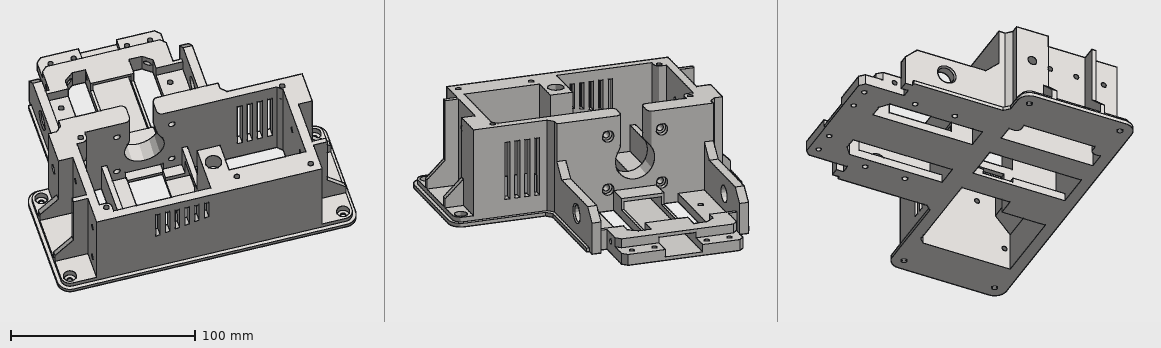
import cadquery as cq


LENGTH_X = 152.0
LENGTH_Y = 168.63
HEIGHT = 55.0

FLANGE_T = 2.2
FLANGE_MARGIN = 2.1
FLANGE_Y_MAX = 103.2
FLANGE_Y_MIN = FLANGE_Y_MAX - LENGTH_Y
FOOT_T = 4.9
FOOT_RADIUS = 5.0
FOOT_X_MIN = 85.2
FOOT_X_MAX = LENGTH_X - FLANGE_MARGIN
FOOT_Y_MIN = FLANGE_Y_MIN + FLANGE_MARGIN
FOOT_Y_MAX = FLANGE_Y_MAX - FLANGE_MARGIN
FOOT_HOLE_D = 3.3
FOOT_HEAD_D = 7.0
FOOT_HEAD_DEPTH = 3.8

FRONT_X = 78.3
NECK_HALF_W = 45.1
NECK_CHAMFER = 3.1
BLOCK_Y_MAX = 90.6
BLOCK_Y_MIN = -52.9
RECESS_X = 104.4
RECESS_Y_MAX = 82.8
RECESS_Y_MIN = -44.7

CORNER_WEB_T = 3.1
MID_WEB_X = 130.6
MID_WEB_T = 2.6
WEB_TOP_Z = 20.3
WEB_TOE_Z = 10.2

CAVITY_X_MIN = 89.9
CAVITY_X_MAX = 145.2
MOTOR_SIDE_Y = 21.2
CAVITY_Y_MIN = -39.9
DIVIDER_T = 3.1
DIVIDER_Y = MOTOR_SIDE_Y + DIVIDER_T
DIVIDER_TOP_Z = 20.2
POST_X = 119.0
POST_Y = 34.2
REAR_Y_MAX = 77.6
REAR_CORNER_CHAMFER = 2.8
LEDGE_X = 136.3
LEDGE_Z = 33.6
LEDGE_DROP = 10.0
BAR_INNER_Y = 10.2
BAR_TOP_Z = 4.9
PASSAGE_X_MIN = 96.0
PASSAGE_X_MAX = 113.9
PASSAGE_Z_MAX = 15.3
BOSS_SIZE = 6.2
BOSS_RADIUS = 3.0

MOTOR_Z = 28.1
MOTOR_BORE_D = 22.5
MOTOR_SLOT_W = 15.2
SLOT_EDGE_RADIUS = 3.0
MOTOR_HOLE_PITCH = 31.0
MOTOR_HOLE_D = 3.7
MOTOR_HEAD_D = 6.5
MOTOR_HEAD_DEPTH = 3.0

PILOT_D = 3.0
PILOT_DEPTH = 10.0
LID_PILOTS = [(90.1, 77.8), (144.8, 77.8), (141.8, 37.0), (92.6, -36.8), (141.8, -36.8)]
POST_HOLE_XY = (128.9, 27.5)
POST_HOLE_D = 4.6
POST_HOLE_DEPTH = 20.0
POST_HEAD_D = 8.8
POST_HEAD_DEPTH = 10.0
END_HOLES = [(109.4, 40.0), (125.2, 40.0), (141.8, 40.0), (141.8, 13.0)]
CABLE_HOLE_XZ = (94.7, 35.0)
CABLE_HOLE_D = 5.2

FRONT_VENT_COUNT = 4
FRONT_VENT_Y = 53.9
FRONT_VENT_PITCH = 5.7
FRONT_VENT_W = 2.8
FRONT_VENT_Z_MIN = 12.0
FRONT_VENT_Z_MAX = 45.2
BACK_VENT_COUNT = 6
BACK_VENT_Y = -10.0
BACK_VENT_PITCH = 5.5
BACK_VENT_W = 2.4
BACK_VENT_Z_MAX = 48.6
BACK_VENT_Z_AXIS = 31.9
BACK_VENT_SLOPE = 0.22

TRAY_X = 26.1
TRAY_HALF_W = 46.8
TRAY_FLOOR_T = 5.0
SIDE_X = 21.9
SIDE_T = 5.2
SIDE_TOP_Z = 25.2
SIDE_NOSE_CHAMFER = 7.0
SIDE_RAMP = 7.8
SIDE_HOLE_XZ = (46.8, 14.5)
SIDE_HOLE_D = 9.6
SIDE_HOLE_CHAMFER = 0.8
FLOOR_HOLE_X = (34.8, 58.8)
FLOOR_HOLE_Y = 30.8

PLATE_X = 10.4
PLATE_X_END = 28.2
PLATE_T = 11.6
PLATE_HALF_W = 35.0
PLATE_CHAMFER = 2.8
LIP_T = 6.4
LIP_HOLE_X = 5.4
LIP_HOLE_Y = (15.05, 28.1)
LIP_HOLE_D = 2.8
CROSS_HOLE_XZ = (20.3, 6.8)
CROSS_HOLE_D = 2.8

OPENING_X = 18.4
OPENING_Y_MIN = 12.3
OPENING_Y_MAX = 24.8
OPENING_CHAMFER_X = 4.0
OPENING_CHAMFER_Y = 5.1
CHANNEL_HALF_W = 10.75
CENTRE_BLOCK_X = 65.9
CHANNEL_Z_MIN = 2.1
CHANNEL_Z_MAX = 9.6


def box(x_range, y_range, z_range):
    """Axis-aligned box between the given limits."""
    size = [limits[1] - limits[0] for limits in (x_range, y_range, z_range)]
    corner = (x_range[0], y_range[0], z_range[0])
    return cq.Workplane("XY").box(*size, centered=False).translate(corner)


def prism(points, z_min, z_max):
    """Vertical prism over a polygon given in X and Y."""
    return cq.Workplane("XY").workplane(offset=z_min).polyline(points).close().extrude(z_max - z_min)


def cylinder_z(x, y, diameter, z_min, z_max):
    return cq.Workplane("XY", origin=(x, y, z_min)).circle(diameter / 2).extrude(z_max - z_min)


def cylinder_y(x, z, diameter, y_min, y_max):
    return cq.Workplane("XZ", origin=(x, y_min, z)).circle(diameter / 2).extrude(y_min - y_max)


def cylinder_x(y, z, diameter, x_min, x_max):
    return cq.Workplane("YZ", origin=(x_min, y, z)).circle(diameter / 2).extrude(x_max - x_min)


def mirrored(shape):
    """The shape together with its mirror image across the motor axis plane."""
    return shape.union(shape.mirror("XZ"))


def make_base():
    """Thin flange with rounded corners, its tray skirt and the thicker foot on top."""
    foot = box((FOOT_X_MIN, FOOT_X_MAX), (FOOT_Y_MIN, FOOT_Y_MAX), (0, FOOT_T))
    foot = foot.edges("|Z").fillet(FOOT_RADIUS)
    neck_x = FOOT_X_MIN - FLANGE_MARGIN
    flange = box((neck_x, LENGTH_X), (FLANGE_Y_MIN, FLANGE_Y_MAX), (0, FLANGE_T))
    flange = flange.edges("|Z").fillet(FOOT_RADIUS + FLANGE_MARGIN)
    half_skirt = [
        (TRAY_X, 0),
        (TRAY_X, TRAY_HALF_W),
        (neck_x - NECK_CHAMFER, TRAY_HALF_W),
        (neck_x, TRAY_HALF_W + NECK_CHAMFER),
        (CAVITY_X_MIN, TRAY_HALF_W + NECK_CHAMFER),
        (CAVITY_X_MIN, 0),
    ]
    skirt = mirrored(prism(half_skirt, 0, FLANGE_T))
    return flange.union(skirt).union(foot)


def make_block():
    """Solid housing block with stepped ends and chamfered neck."""
    shoulder_y = NECK_HALF_W + NECK_CHAMFER
    outline = [
        (FRONT_X, -NECK_HALF_W),
        (FOOT_X_MIN - NECK_CHAMFER, -NECK_HALF_W),
        (FOOT_X_MIN, -shoulder_y),
        (FOOT_X_MIN, BLOCK_Y_MIN),
        (RECESS_X, BLOCK_Y_MIN),
        (RECESS_X, RECESS_Y_MIN),
        (FOOT_X_MAX, RECESS_Y_MIN),
        (FOOT_X_MAX, RECESS_Y_MAX),
        (RECESS_X, RECESS_Y_MAX),
        (RECESS_X, BLOCK_Y_MAX),
        (FOOT_X_MIN, BLOCK_Y_MAX),
        (FOOT_X_MIN, shoulder_y),
        (FOOT_X_MIN - NECK_CHAMFER, NECK_HALF_W),
        (FRONT_X, NECK_HALF_W),
    ]
    return prism(outline, 0, HEIGHT)


def make_web(x_min, thickness, wall_y, corner_y, toe_y):
    """Full-height web from the wall to the corner line, then a sloped gusset to the toe."""
    profile = [
        (wall_y, 0),
        (toe_y, 0),
        (toe_y, WEB_TOE_Z),
        (corner_y, WEB_TOP_Z),
        (corner_y, HEIGHT),
        (wall_y, HEIGHT),
    ]
    return cq.Workplane("YZ", origin=(x_min, 0, 0)).polyline(profile).close().extrude(thickness)


def make_webs():
    """Two webs in each end recess: one flush with the block corner and one at mid length."""
    webs = cq.Workplane("XY")
    for x_min, thickness in ((RECESS_X - CORNER_WEB_T, CORNER_WEB_T), (MID_WEB_X, MID_WEB_T)):
        webs = webs.add(make_web(x_min, thickness, RECESS_Y_MAX, BLOCK_Y_MAX, FOOT_Y_MAX))
        webs = webs.add(make_web(x_min, thickness, RECESS_Y_MIN, BLOCK_Y_MIN, FOOT_Y_MIN))
    return webs.combine()


def cut_rear_cavity(body):
    """Cavity beside the motor: a sloped underside carries the thick upper back wall."""
    profile = [
        (CAVITY_X_MIN, 0),
        (CAVITY_X_MAX, 0),
        (CAVITY_X_MAX, LEDGE_Z - LEDGE_DROP),
        (LEDGE_X, LEDGE_Z),
        (LEDGE_X, HEIGHT),
        (CAVITY_X_MIN, HEIGHT),
    ]
    room = cq.Workplane("XZ", origin=(0, POST_Y, 0)).polyline(profile).close()
    room = room.extrude(POST_Y - REAR_Y_MAX)
    room = room.edges("|Z and <X and >Y").chamfer(REAR_CORNER_CHAMFER)
    beside_post = box((CAVITY_X_MIN, POST_X), (DIVIDER_Y, POST_Y), (0, HEIGHT))
    return body.cut(room).cut(beside_post)


def cut_motor_cavity(body):
    """Motor cavity with low side dividers, support bars and two screw bosses."""
    full_x = (CAVITY_X_MIN, CAVITY_X_MAX)
    motor = box(full_x, (-MOTOR_SIDE_Y, MOTOR_SIDE_Y), (BAR_TOP_Z, HEIGHT))
    between_bars = box(full_x, (-BAR_INNER_Y, BAR_INNER_Y), (0, HEIGHT))
    over_divider = box((CAVITY_X_MIN, POST_X), (MOTOR_SIDE_Y, DIVIDER_Y), (DIVIDER_TOP_Z, HEIGHT))
    over_far_divider = box(full_x, (-DIVIDER_Y, -MOTOR_SIDE_Y), (DIVIDER_TOP_Z, HEIGHT))
    far_room = box(full_x, (CAVITY_Y_MIN, -DIVIDER_Y), (0, HEIGHT))
    boss_y = (CAVITY_Y_MIN, CAVITY_Y_MIN + BOSS_SIZE)
    front_boss = box((CAVITY_X_MIN, CAVITY_X_MIN + BOSS_SIZE), boss_y, (0, HEIGHT))
    front_boss = front_boss.edges("|Z and >X and >Y").fillet(BOSS_RADIUS)
    back_boss = box((CAVITY_X_MAX - BOSS_SIZE, CAVITY_X_MAX), boss_y, (0, HEIGHT))
    back_boss = back_boss.edges("|Z and <X and >Y").fillet(BOSS_RADIUS)
    far_room = far_room.cut(front_boss).cut(back_boss)
    passage = box(
        (PASSAGE_X_MIN, PASSAGE_X_MAX), (BAR_INNER_Y, DIVIDER_Y), (FLANGE_T, PASSAGE_Z_MAX)
    )
    for cutter in (motor, between_bars, over_divider, over_far_divider, far_room, passage):
        body = body.cut(cutter)
    return body


def cut_motor_mount(body):
    """Shaft bore, open-topped slot with rounded edges and four counterbored screw holes."""
    x_range = (FRONT_X, CAVITY_X_MIN)
    half_w = MOTOR_SLOT_W / 2
    r = SLOT_EDGE_RADIUS
    half_slot = (
        cq.Workplane("XY", origin=(0, 0, MOTOR_Z))
        .moveTo(FRONT_X, 0)
        .lineTo(FRONT_X, half_w + r)
        .radiusArc((FRONT_X + r, half_w), -r)
        .lineTo(CAVITY_X_MIN - r, half_w)
        .radiusArc((CAVITY_X_MIN, half_w + r), -r)
        .lineTo(CAVITY_X_MIN, 0)
        .close()
        .extrude(HEIGHT - MOTOR_Z)
    )
    body = body.cut(mirrored(half_slot)).cut(cylinder_x(0, MOTOR_Z, MOTOR_BORE_D, *x_range))
    for side_y in (-1, 1):
        for side_z in (-1, 1):
            y = side_y * MOTOR_HOLE_PITCH / 2
            z = MOTOR_Z + side_z * MOTOR_HOLE_PITCH / 2
            body = body.cut(cylinder_x(y, z, MOTOR_HOLE_D, *x_range))
            body = body.cut(cylinder_x(y, z, MOTOR_HEAD_D, FRONT_X, FRONT_X + MOTOR_HEAD_DEPTH))
    return body


def cut_vents(body):
    """Straight slots through the front wall, slant-bottomed slots through the back wall."""
    for i in range(FRONT_VENT_COUNT):
        y = FRONT_VENT_Y + i * FRONT_VENT_PITCH
        y_range = (y - FRONT_VENT_W / 2, y + FRONT_VENT_W / 2)
        body = body.cut(
            box((FOOT_X_MIN, CAVITY_X_MIN), y_range, (FRONT_VENT_Z_MIN, FRONT_VENT_Z_MAX))
        )
    for i in range(BACK_VENT_COUNT):
        y = BACK_VENT_Y + i * BACK_VENT_PITCH
        y_min = y - BACK_VENT_W / 2
        y_max = y + BACK_VENT_W / 2
        profile = [
            (y_min, BACK_VENT_Z_AXIS + BACK_VENT_SLOPE * y_min),
            (y_max, BACK_VENT_Z_AXIS + BACK_VENT_SLOPE * y_max),
            (y_max, BACK_VENT_Z_MAX),
            (y_min, BACK_VENT_Z_MAX),
        ]
        slot = cq.Workplane("YZ", origin=(CAVITY_X_MAX, 0, 0)).polyline(profile).close()
        body = body.cut(slot.extrude(FOOT_X_MAX - CAVITY_X_MAX))
    return body


def cut_housing_holes(body):
    """Lid pilots, post hole, end-wall pilots, cable hole and counterbored foot holes."""
    for x, y in LID_PILOTS:
        body = body.cut(cylinder_z(x, y, PILOT_D, HEIGHT - PILOT_DEPTH, HEIGHT))
    body = body.cut(cylinder_z(*POST_HOLE_XY, POST_HOLE_D, HEIGHT - POST_HOLE_DEPTH, HEIGHT))
    body = body.cut(cylinder_z(*POST_HOLE_XY, POST_HEAD_D, HEIGHT - POST_HEAD_DEPTH, HEIGHT))
    for x, z in END_HOLES:
        body = body.cut(cylinder_y(x, z, PILOT_D, RECESS_Y_MIN, CAVITY_Y_MIN))
        body = body.cut(cylinder_y(x, z, PILOT_D, REAR_Y_MAX, RECESS_Y_MAX))
    boss_face_y = CAVITY_Y_MIN + BOSS_SIZE
    body = body.cut(cylinder_y(*CABLE_HOLE_XZ, CABLE_HOLE_D, BLOCK_Y_MIN, boss_face_y))
    for x in (FOOT_X_MIN + FOOT_RADIUS, FOOT_X_MAX - FOOT_RADIUS):
        for y in (FOOT_Y_MIN + FOOT_RADIUS, FOOT_Y_MAX - FOOT_RADIUS):
            body = body.cut(cylinder_z(x, y, FOOT_HOLE_D, 0, FOOT_T))
            body = body.cut(cylinder_z(x, y, FOOT_HEAD_D, FOOT_T - FOOT_HEAD_DEPTH, FOOT_T))
    return body


def make_side_wall():
    """Side wall of the tray at +Y, with its ramp up to the housing and a chamfered hole."""
    inner_y = NECK_HALF_W - SIDE_T
    profile = [
        (SIDE_X, 0),
        (FRONT_X, 0),
        (FRONT_X, SIDE_TOP_Z + SIDE_RAMP),
        (FRONT_X - SIDE_RAMP, SIDE_TOP_Z),
        (SIDE_X + SIDE_NOSE_CHAMFER, SIDE_TOP_Z),
        (SIDE_X, SIDE_TOP_Z - SIDE_NOSE_CHAMFER),
    ]
    wall = cq.Workplane("XZ", origin=(0, inner_y, 0)).polyline(profile).close().extrude(-SIDE_T)
    wall = wall.cut(cylinder_y(*SIDE_HOLE_XZ, SIDE_HOLE_D, inner_y, NECK_HALF_W))
    return wall.faces(">Y").edges("%CIRCLE").chamfer(SIDE_HOLE_CHAMFER)


def make_tray():
    """Tray floor, side walls, raised plate and front lip."""
    floor = box((TRAY_X, FRONT_X), (-NECK_HALF_W, NECK_HALF_W), (0, TRAY_FLOOR_T))
    lip = box((0, TRAY_X), (-PLATE_HALF_W, PLATE_HALF_W), (0, LIP_T))
    lip = lip.edges("|Z and <X").chamfer(PLATE_CHAMFER)
    plate = box((PLATE_X, TRAY_X), (-PLATE_HALF_W, PLATE_HALF_W), (0, PLATE_T))
    plate = plate.edges("|Z and <X").chamfer(PLATE_CHAMFER)
    plate_back = box((TRAY_X, PLATE_X_END), (-NECK_HALF_W, NECK_HALF_W), (0, PLATE_T))
    centre_block = box((CENTRE_BLOCK_X, FRONT_X), (-OPENING_Y_MIN, OPENING_Y_MIN), (0, PLATE_T))
    tray = floor
    for solid in (lip, plate, plate_back, centre_block, mirrored(make_side_wall())):
        tray = tray.union(solid)
    return tray


def cut_tray(body):
    """Long openings, central channel running through to the motor cavity, the tray and lip holes."""
    opening = prism(
        [
            (OPENING_X, OPENING_Y_MIN),
            (FRONT_X, OPENING_Y_MIN),
            (FRONT_X, OPENING_Y_MAX),
            (OPENING_X + OPENING_CHAMFER_X, OPENING_Y_MAX),
            (OPENING_X, OPENING_Y_MAX - OPENING_CHAMFER_Y),
        ],
        0,
        PLATE_T,
    )
    channel = box(
        (0, CAVITY_X_MIN), (-CHANNEL_HALF_W, CHANNEL_HALF_W), (CHANNEL_Z_MIN, CHANNEL_Z_MAX)
    )
    cross_hole = cylinder_y(*CROSS_HOLE_XZ, CROSS_HOLE_D, -PLATE_HALF_W, PLATE_HALF_W)
    body = body.cut(mirrored(opening)).cut(channel).cut(cross_hole)
    for side in (-1, 1):
        for x in FLOOR_HOLE_X:
            body = body.cut(cylinder_z(x, side * FLOOR_HOLE_Y, PILOT_D, 0, TRAY_FLOOR_T))
        for y in LIP_HOLE_Y:
            body = body.cut(cylinder_z(LIP_HOLE_X, side * y, LIP_HOLE_D, 0, LIP_T))
    return body


housing = make_base().union(make_block()).union(make_webs())
housing = cut_rear_cavity(housing)
housing = cut_motor_cavity(housing)
housing = cut_vents(housing)
housing = cut_housing_holes(housing)
result = cut_tray(housing.union(make_tray()))
result = cut_motor_mount(result)